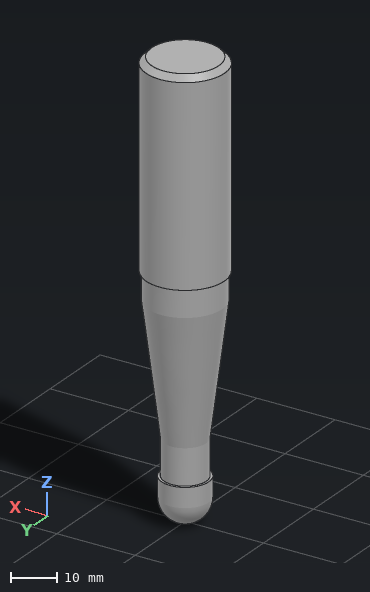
import cadquery as cq
import math

total_length = 111.0
shank_bottom = 59.9
collar_bottom = 53.1
neck_top = 20.0
tip_top = 11.0

shank_diameter = 20.0
collar_diameter = 19.0
neck_diameter = 10.8
tip_diameter = 12.0

top_chamfer = 1.4

shank_radius = shank_diameter / 2
collar_radius = collar_diameter / 2
neck_radius = neck_diameter / 2
tip_radius = tip_diameter / 2


def make_holder():
    """Shank, collar, straight taper and neck as one revolved solid."""
    return (
        cq.Workplane("XZ")
        .moveTo(0, tip_top)
        .lineTo(neck_radius, tip_top)
        .lineTo(neck_radius, neck_top)
        .lineTo(collar_radius, collar_bottom)
        .lineTo(collar_radius, shank_bottom)
        .lineTo(shank_radius, shank_bottom)
        .lineTo(shank_radius, total_length - top_chamfer)
        .lineTo(shank_radius - top_chamfer, total_length)
        .lineTo(0, total_length)
        .close()
        .revolve(360, (0, 0), (0, 1))
    )


def make_ball_tip():
    """Short cylinder with a hemispherical lower end, seated on the neck's end face."""
    arc_offset = tip_radius * math.sqrt(0.5)
    return (
        cq.Workplane("XZ")
        .moveTo(0, 0)
        .threePointArc((arc_offset, tip_radius - arc_offset), (tip_radius, tip_radius))
        .lineTo(tip_radius, tip_top)
        .lineTo(0, tip_top)
        .close()
        .revolve(360, (0, 0), (0, 1))
    )


holder = make_holder()
ball_tip = make_ball_tip()

result = cq.Compound.makeCompound([holder.val(), ball_tip.val()])